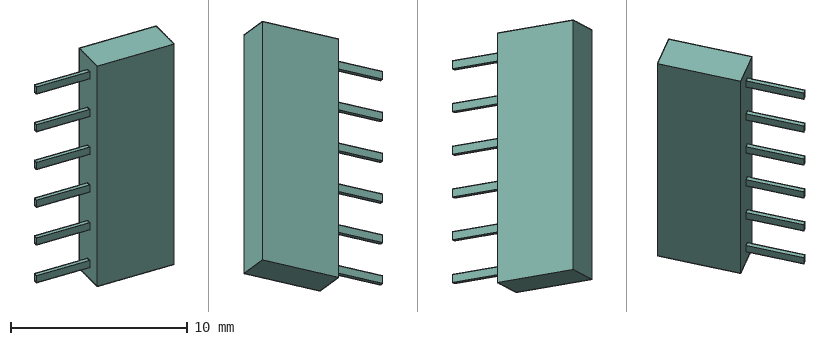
import cadquery as cq

body_width = 2.16
body_depth = 4.95
body_height = 14.83

pin_count = 6
pin_pitch = 2.54
pin_width = 0.26
pin_height = 0.48
pin_length = 3.43
pin_offset_x = 0.065
pin_offset_z = -0.04


def make_body():
    """Plain block centred in X and Z, with its lead face at Y = 0."""
    return cq.Workplane("XY").box(body_width, body_depth, body_height, centered=(True, False, True))


def make_pin(center_z):
    """One lead running from the body's lead face toward -Y."""
    pin = cq.Workplane("XY").box(pin_width, pin_length, pin_height)
    return pin.translate((pin_offset_x, -pin_length / 2, center_z))


result = make_body()
lowest_pin_z = pin_offset_z - pin_pitch * (pin_count - 1) / 2
for index in range(pin_count):
    result = result.union(make_pin(lowest_pin_z + index * pin_pitch))